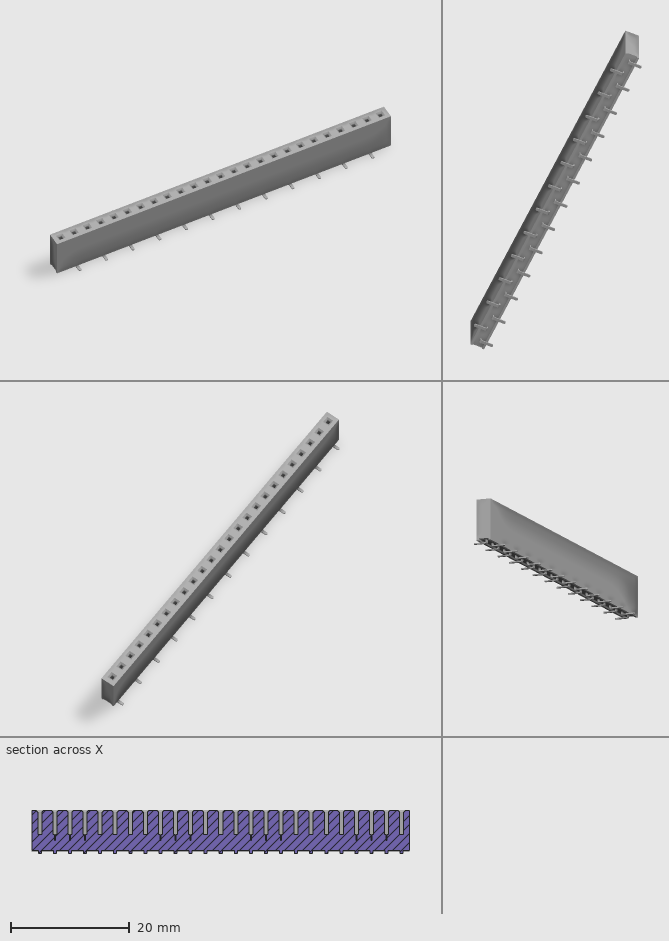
import cadquery as cq


PITCH = 2.54
CONTACT_COUNT = 25

OVERALL_HEIGHT = 7.4
FOOT_SPAN = 4.64
END_MARGIN = 0.1

HOUSING_WIDTH = 2.54
HOUSING_LENGTH = CONTACT_COUNT * PITCH + 2 * END_MARGIN
STANDOFF = 0.3
HOUSING_HEIGHT = OVERALL_HEIGHT - STANDOFF

CHANNEL_WIDTH = 1.74
CHANNEL_DEPTH = 0.3

SOCKET_MOUTH = 1.2
SOCKET_SIZE = 0.6
SOCKET_DEPTH = 4.0
LEAD_IN_DEPTH = 0.3
SLIT_WIDTH = 0.04
SLIT_DEPTH = 1.0

STEM_WIDTH = 0.6
FOOT_WIDTH = 0.5
TAIL_THICKNESS = 0.2
HEEL_RADIUS = 0.3
TIP_CORNER_RADIUS = 0.2

CHANNEL_TOP = STANDOFF + CHANNEL_DEPTH


def contact_y(index):
    """Y position of a contact, with the row centred on the origin."""
    return (index - (CONTACT_COUNT - 1) / 2) * PITCH


def make_housing():
    """Plain block with a channel running the full length of its underside."""
    block = cq.Workplane("XY").workplane(offset=STANDOFF).box(
        HOUSING_WIDTH, HOUSING_LENGTH, HOUSING_HEIGHT, centered=(True, True, False)
    )
    channel = cq.Workplane("XY").workplane(offset=STANDOFF).box(
        CHANNEL_WIDTH, HOUSING_LENGTH, CHANNEL_DEPTH, centered=(True, True, False)
    )
    return block.cut(channel)


def make_socket(y):
    """Square blind hole with a narrow slit in its floor and a pyramid-shaped lead-in at the top face."""
    hole = (
        cq.Workplane("XY", origin=(0, y, OVERALL_HEIGHT))
        .rect(SOCKET_SIZE, SOCKET_SIZE)
        .extrude(-SOCKET_DEPTH)
    )
    slit = (
        cq.Workplane("XY", origin=(0, y, OVERALL_HEIGHT - SOCKET_DEPTH))
        .rect(SOCKET_SIZE, SLIT_WIDTH)
        .extrude(-SLIT_DEPTH)
    )
    lead_in = (
        cq.Workplane("XY", origin=(0, y, OVERALL_HEIGHT))
        .rect(SOCKET_MOUTH, SOCKET_MOUTH)
        .workplane(offset=-LEAD_IN_DEPTH)
        .rect(SOCKET_SIZE, SOCKET_SIZE)
        .loft()
    )
    return hole.union(slit).union(lead_in)


def make_tail(y, side):
    """Bent tail: a wide stem below the housing and a narrower foot towards side (-1 or +1) along X."""
    heel_x = -side * TAIL_THICKNESS / 2
    bend_end_x = heel_x + side * HEEL_RADIUS
    inside_x = side * TAIL_THICKNESS / 2
    stem = (
        cq.Workplane("XZ", origin=(0, y + STEM_WIDTH / 2, 0))
        .moveTo(heel_x, CHANNEL_TOP)
        .lineTo(heel_x, HEEL_RADIUS)
        .radiusArc((bend_end_x, 0), -side * HEEL_RADIUS)
        .lineTo(bend_end_x, TAIL_THICKNESS)
        .lineTo(inside_x, TAIL_THICKNESS)
        .lineTo(inside_x, CHANNEL_TOP)
        .close()
        .extrude(STEM_WIDTH)
    )
    tip_x = side * FOOT_SPAN / 2
    tip_face = ">X" if side > 0 else "<X"
    foot = (
        cq.Workplane("XY", origin=((bend_end_x + tip_x) / 2, y, 0))
        .box(abs(tip_x - bend_end_x), FOOT_WIDTH, TAIL_THICKNESS, centered=(True, True, False))
        .faces(tip_face)
        .edges("|Z")
        .fillet(TIP_CORNER_RADIUS)
    )
    return stem.union(foot)


def combine(shapes):
    """One compound of separate shapes, for use in a single boolean operation."""
    return cq.Workplane(obj=cq.Compound.makeCompound([shape.val() for shape in shapes]))


sockets = []
tails = []
for contact in range(CONTACT_COUNT):
    foot_side = -1 if contact % 2 == 0 else 1
    sockets.append(make_socket(contact_y(contact)))
    tails.append(make_tail(contact_y(contact), foot_side))

result = make_housing().cut(combine(sockets)).union(combine(tails))